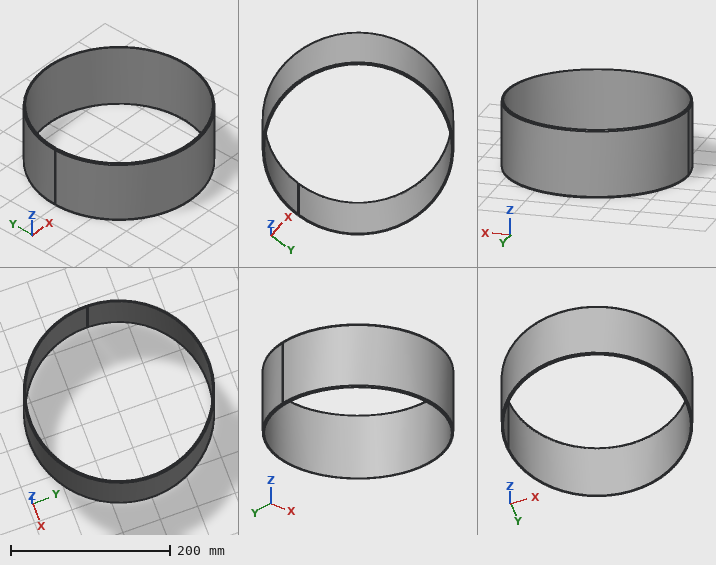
import cadquery as cq

outer_diameter = 240.0
height = 90.0
wall = 2.28
bevel_height = 2.0
bevel_inset = 0.7
slit_width = 2.05

outer_radius = outer_diameter / 2
inner_radius = outer_radius - wall
half_height = height / 2
bevel_start = half_height - bevel_height

wall_section = [
    (inner_radius, -half_height),
    (outer_radius - bevel_inset, -half_height),
    (outer_radius, -bevel_start),
    (outer_radius, bevel_start),
    (outer_radius - bevel_inset, half_height),
    (inner_radius, half_height),
]
ring = (
    cq.Workplane("XZ")
    .polyline(wall_section)
    .close()
    .revolve(360, (0, 0), (0, 1))
    .rotate((0, 0, 0), (0, 0, 1), 180)
)

slit_length = 4 * wall
slit_cutter = (
    cq.Workplane("XY")
    .box(slit_length, slit_width, height, centered=(True, False, True))
    .translate((-inner_radius, 0, 0))
)

result = ring.cut(slit_cutter)